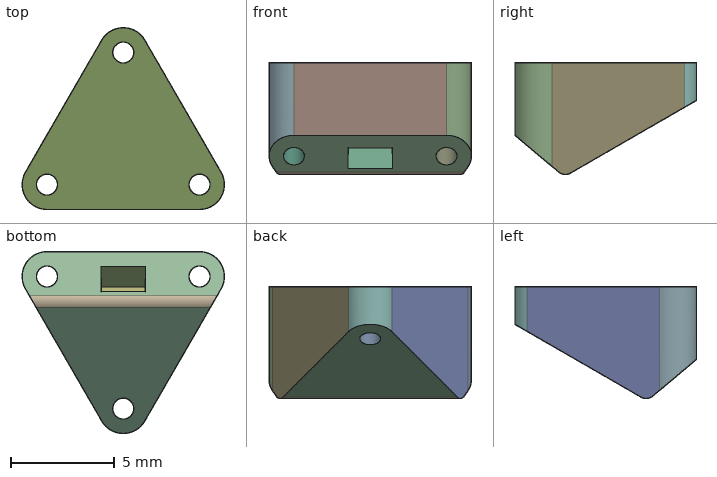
import cadquery as cq
import math

hole_circle_radius = 4.24
corner_radius = 1.2
hole_diameter = 1.0
hole_spacing = hole_circle_radius * math.sqrt(3)
row_y = -hole_circle_radius / 2
front_y = row_y - corner_radius
back_y = hole_circle_radius + corner_radius

front_depth = 3.5
ridge_depth = 5.5
front_slope = math.radians(40)
back_slope = math.radians(30)
ridge_radius = 0.5
ridge_y = front_y + (ridge_depth - front_depth) / math.tan(front_slope)
back_depth = ridge_depth - (back_y - ridge_y) * math.tan(back_slope)

pocket_width = 2.15
pocket_length = 1.55
pocket_depth = 1.5
pocket_draft = 1
pocket_center_depth = 4.61
pocket_center_y = front_y + (pocket_center_depth - front_depth) / math.tan(front_slope)


def corner_points():
    half_spacing = hole_spacing / 2
    return [(0, hole_circle_radius), (-half_spacing, row_y), (half_spacing, row_y)]


def triangular_prism():
    prism = cq.Workplane("XY").polyline(corner_points()).close().offset2D(corner_radius)
    return prism.extrude(-ridge_depth)


def side_envelope():
    ridge = cq.selectors.NearestToPointSelector((0, ridge_y, -ridge_depth))
    return (
        cq.Workplane("YZ")
        .moveTo(front_y, 0)
        .lineTo(front_y, -front_depth)
        .lineTo(ridge_y, -ridge_depth)
        .lineTo(back_y, -back_depth)
        .lineTo(back_y, 0)
        .close()
        .extrude(hole_spacing, both=True)
        .edges(ridge)
        .fillet(ridge_radius)
    )


def screw_holes():
    return cq.Workplane("XY").pushPoints(corner_points()).circle(hole_diameter / 2).extrude(-ridge_depth)


def front_pocket():
    slope_plane = cq.Plane(
        origin=(0, pocket_center_y, -pocket_center_depth),
        xDir=(1, 0, 0),
        normal=(0, -math.sin(front_slope), -math.cos(front_slope)),
    )
    return cq.Workplane(slope_plane).rect(pocket_width, pocket_length).extrude(-pocket_depth, taper=pocket_draft)


result = triangular_prism().intersect(side_envelope()).cut(screw_holes()).cut(front_pocket())